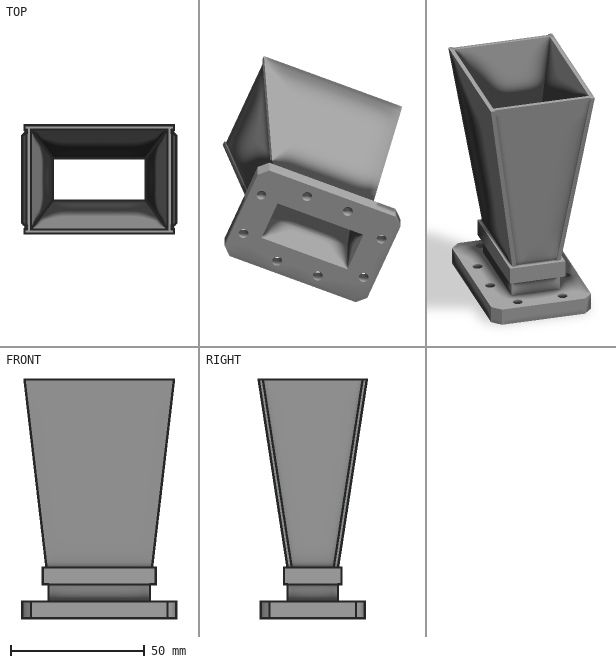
import cadquery as cq

total_height = 89.7
bore_x = 34.9
bore_y = 15.8
wall = 1.6

flange_x = 57.9
flange_y = 39.2
step_height = 6.4
flange_chamfer = 3.3
end_hole_x = 24.4
end_hole_y = 8.8
end_hole_diameter = 3.7
side_hole_x = 8.25
side_hole_y = 14.8
side_hole_diameter = 3.8

neck_x = bore_x + 2 * wall
neck_y = bore_y + 2 * wall
collar_x = 42.6
collar_y = 21.7
neck_top = 2 * step_height
collar_top = 3 * step_height

mouth_x = 51.4
mouth_outer_y = 40.7
mouth_y = mouth_outer_y - 2 * wall
plate_overhang = 0.8
plate_extra_x = 2 * (wall + plate_overhang)


def block(size_x, size_y, bottom, top):
    """Rectangular block centred on the Z axis between two heights."""
    return cq.Workplane("XY").workplane(offset=bottom).rect(size_x, size_y).extrude(top - bottom)


def flare(base_x, base_y, top_x, top_y):
    """Rectangular frustum from the collar top to the horn mouth."""
    return (
        cq.Workplane("XY")
        .workplane(offset=collar_top)
        .rect(base_x, base_y)
        .workplane(offset=total_height - collar_top)
        .rect(top_x, top_y)
        .loft(ruled=True, combine=True)
    )


def make_flange():
    """Chamfered flange with eight through holes around the neck."""
    plate = block(flange_x, flange_y, 0, step_height).edges("|Z").chamfer(flange_chamfer)
    hole_sets = [
        (end_hole_x, end_hole_y, end_hole_diameter),
        (side_hole_x, side_hole_y, side_hole_diameter),
    ]
    for x, y, diameter in hole_sets:
        plate = (
            plate.faces(">Z")
            .workplane(origin=(0, 0, step_height))
            .rect(2 * x, 2 * y, forConstruction=True)
            .vertices()
            .hole(diameter)
        )
    return plate


def make_horn_body():
    """Horn before boring: side-wall core plus the two overhanging plates."""
    core = flare(neck_x, bore_y, mouth_x + 2 * wall, mouth_y)
    plates = flare(bore_x + plate_extra_x, neck_y, mouth_x + plate_extra_x, mouth_outer_y)
    between_x = mouth_x + 2 * plate_extra_x
    plates = plates.cut(flare(between_x, bore_y, between_x, mouth_y))
    return core.union(plates)


neck = block(neck_x, neck_y, step_height, neck_top)
collar = block(collar_x, collar_y, neck_top, collar_top)
straight_bore = block(bore_x, bore_y, 0, collar_top)
flared_bore = flare(bore_x, bore_y, mouth_x, mouth_y)

result = (
    make_flange()
    .union(neck)
    .union(collar)
    .union(make_horn_body())
    .cut(straight_bore)
    .cut(flared_bore)
)